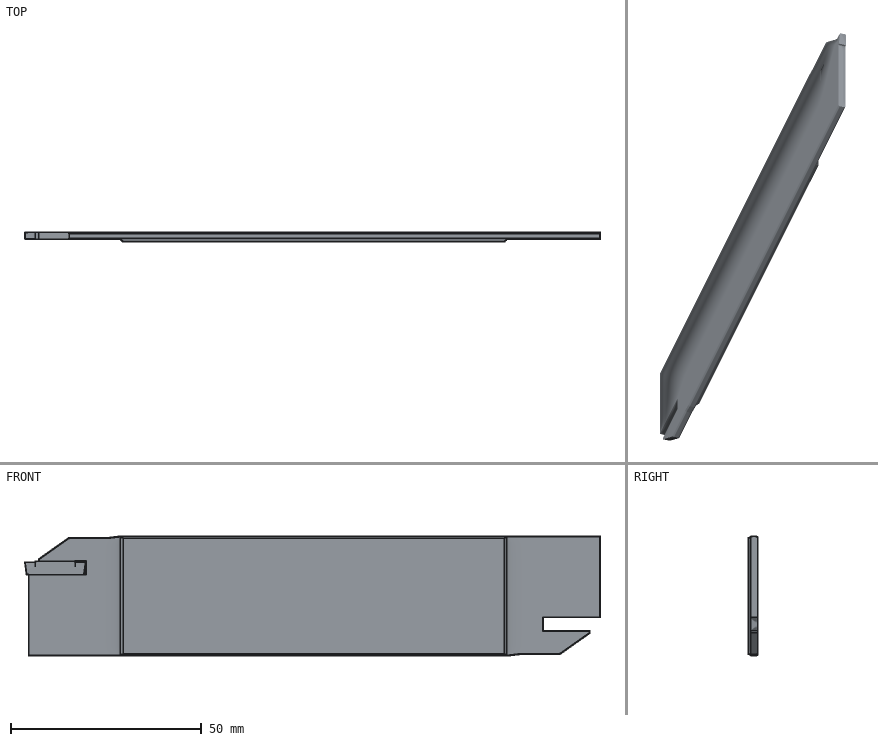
import cadquery as cq

blade_length = 150.0
blade_height = 31.36
blade_thickness = 1.9
half_length = blade_length / 2
half_height = blade_height / 2

total_thickness = 2.6
pad_height = total_thickness - blade_thickness
pad_face_length = 100.0
pad_slope = 0.7
pad_offset = -0.2

front_bevel_run = 1.0
front_bevel_drop = 0.5
back_bevel_run = 0.4
back_bevel_drop = 0.3

edge_relief = 0.35
relief_end_setback = 24.0
relief_start_setback = 21.2
nose_top_setback = 10.7
nose_tip_setback = 2.7
relief_end_x = -half_length + relief_end_setback
relief_start_x = -half_length + relief_start_setback
nose_top_x = -half_length + nose_top_setback
nose_tip_x = -half_length + nose_tip_setback
nose_tip_height = 0.5

pocket_floor_drop = 10.1
pocket_floor_z = half_height - pocket_floor_drop
pocket_height = 3.6
pocket_roof_z = pocket_floor_z + pocket_height
pocket_depth = 15.0
pocket_end_x = -half_length + pocket_depth

insert_overhang = 1.0
insert_length = insert_overhang + pocket_depth
head_length = 2.8
head_drop = 0.3
flank_inner_drop = 1.4
flank_slope_degrees = 22.0
flank_depth = 0.2
flank_height = 3.0
end_clearance = 0.45


def turned(points):
    """Points turned half a turn about the blade's centre."""
    return [(-x, -z) for x, z in points]


def extruded(points, front_y, thickness):
    """Solid with an XZ outline, reaching from front_y towards +Y."""
    return cq.Workplane("XZ", origin=(0, front_y, 0)).polyline(points).close().extrude(-thickness)


def make_blade():
    """Blade with a pocket at each end, a middle pad and bevelled long edges."""
    end_outline = [
        (-half_length, -half_height),
        (-half_length, pocket_floor_z),
        (pocket_end_x, pocket_floor_z),
        (pocket_end_x, pocket_roof_z),
        (nose_tip_x, pocket_roof_z),
        (nose_tip_x, pocket_roof_z + nose_tip_height),
        (nose_top_x, half_height - edge_relief),
        (relief_start_x, half_height - edge_relief),
        (relief_end_x, half_height),
    ]
    bar = extruded(end_outline + turned(end_outline), 0, blade_thickness)
    pad_half = pad_face_length / 2
    pad_outline = [
        (-pad_half - pad_slope, 0),
        (-pad_half, -pad_height),
        (pad_half, -pad_height),
        (pad_half + pad_slope, 0),
    ]
    pad = (
        cq.Workplane("XY", origin=(pad_offset, 0, -half_height))
        .polyline(pad_outline)
        .close()
        .extrude(blade_height)
    )
    blade = bar.union(pad)
    bevels = (
        edge_bevel(-pad_height, front_bevel_run, front_bevel_drop),
        edge_bevel(blade_thickness, -back_bevel_run, back_bevel_drop),
    )
    for bevel in bevels:
        blade = blade.cut(bevel)
        blade = blade.cut(bevel.rotate((0, 0, 0), (0, 1, 0), 180))
    return blade


def edge_bevel(face_y, run, drop):
    """Wedge that bevels the top edge of one face, following the edge down to its relief."""
    relief_z = half_height - edge_relief
    stations = [
        (-half_length, relief_z),
        (relief_start_x, relief_z),
        (relief_end_x, half_height),
        (half_length, half_height),
    ]
    wedge = cq.Workplane("YZ", origin=(-half_length, 0, 0))
    previous_x = -half_length
    for x, edge_z in stations:
        wedge = (
            wedge.workplane(offset=x - previous_x)
            .moveTo(face_y, edge_z - drop)
            .lineTo(face_y, edge_z)
            .lineTo(face_y + run, edge_z)
            .close()
        )
        previous_x = x
    return wedge.loft(ruled=True)


def make_insert():
    """Insert filling the pocket at the -X end and sticking out past the blade."""
    mid_x = pocket_end_x - insert_length / 2
    half = insert_length / 2
    head_z = pocket_roof_z - head_drop
    left_half = [
        (-half + end_clearance, pocket_floor_z),
        (-half, head_z),
        (-half + head_length, head_z),
        (-half + head_length, pocket_roof_z),
    ]
    right_half = [(-x, z) for x, z in reversed(left_half)]
    outline = [(mid_x + x, z) for x, z in left_half + right_half]
    insert = extruded(outline, 0, blade_thickness)
    for end in (-1, 1):
        inner_x = mid_x + end * (half - head_length)
        for face_y, inward in ((0, 1), (blade_thickness, -1)):
            insert = insert.cut(flank_relief(inner_x, end, face_y, inward))
    return insert


def flank_relief(inner_x, end, face_y, inward):
    """Wedge that leans one head flank inwards above a line sloping down to the tip."""
    line_z = pocket_roof_z - flank_inner_drop
    wedge_outline = [
        (face_y, line_z),
        (face_y, line_z + flank_height),
        (face_y + inward * flank_depth, line_z + flank_height),
    ]
    wedge = (
        cq.Workplane("YZ", origin=(inner_x, 0, 0))
        .polyline(wedge_outline)
        .close()
        .extrude(2 * head_length, both=True)
        .rotate((inner_x, 0, line_z), (inner_x, 1, line_z), end * flank_slope_degrees)
    )
    head_space = cq.Workplane("XY", origin=(inner_x + end * head_length, 0, line_z)).box(
        2 * head_length, 4 * blade_thickness, 4 * flank_height
    )
    return wedge.intersect(head_space)


blade = make_blade()
insert = make_insert()

result = cq.Compound.makeCompound([blade.solids().val(), insert.solids().val()])